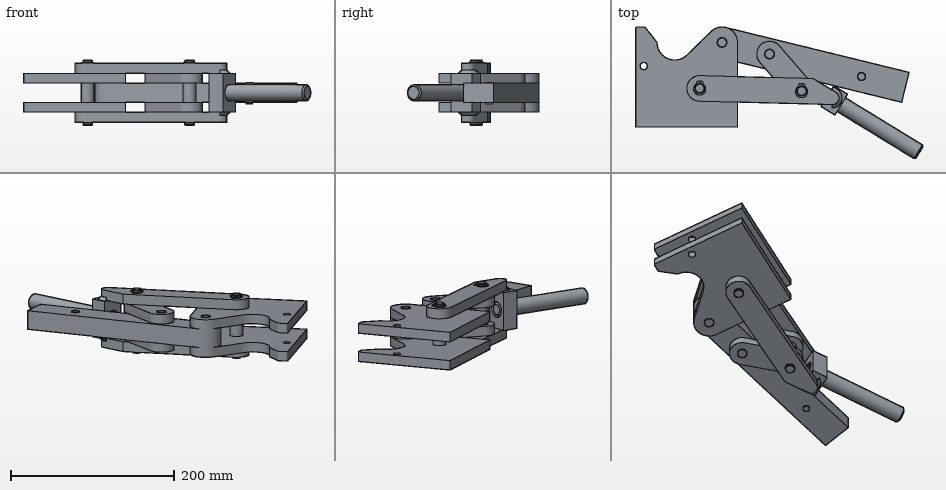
import cadquery as cq
import math


ARM_THICKNESS = 23.5
PLATE_THICKNESS = 12.0
LONG_LINK_THICKNESS = 12.5
ARM_TOP = ARM_THICKNESS / 2
PLATE_TOP = ARM_TOP + PLATE_THICKNESS
LONG_LINK_TOP = PLATE_TOP + LONG_LINK_THICKNESS
PIN_TOP = 40.0

PLATE_LENGTH = 125.0
PLATE_DEPTH = 123.0
PIVOT_RADIUS = 19.0
PIVOT = (PLATE_LENGTH - PIVOT_RADIUS, PLATE_DEPTH - PIVOT_RADIUS)
SEAT_RADIUS = 21.5
SEAT_CENTER = (48.0, PIVOT[1])
HORN_WIDTH = 11.5
HORN_CORNER_RADIUS = 2.0
PLATE_HOLE_CENTER = (10.0, 75.0)
PLATE_HOLE_DIAMETER = 8.5

ARM_LENGTH = 231.6
ARM_WIDTH = 2 * PIVOT_RADIUS
ARM_ANGLE = -13.76
ARM_LINK_DISTANCE = 60.0
ARM_TIP_PIN_DISTANCE = 176.0

LINK_RADIUS = 15.7
FIXED_PIN = (78.6, 47.6)
PIN_SPACING = 125.0
LONG_LINK_ANGLE = -1.47
LONG_LINK_SLANT_START = 139.0
LONG_LINK_SLANT_ANGLE = -30.0
LONG_LINK_TIP_RADIUS = 8.2

PIN_DIAMETER = 12.0
PIN_CHAMFER = 0.5
PIN_BEVEL_LENGTH = 1.0
PIN_BEVEL_DEPTH = 0.7
SPACER_DIAMETER = 16.0
TIP_PIN_HEAD_DIAMETER = 10.0
TIP_PIN_HEAD_HEIGHT = 1.0
TIP_PIN_DIAMETER = 8.0
TIP_PIN_PROTRUSION = 2.0

RING_THICKNESS = 1.0
RING_RADIUS = 7.4
RING_OFFSET = 0.8
RING_GROOVE_DEPTH = 0.5
RING_LUG_WIDTH = 8.0
RING_LUG_REACH = 9.0
RING_LUG_CHAMFER = 1.5
RING_GAP = 1.5

HANDLE_ANGLE = LONG_LINK_ANGLE + LONG_LINK_SLANT_ANGLE
BLOCK_LENGTH = 20.0
BLOCK_WIDTH = 30.0
BLOCK_HEIGHT = 2 * PLATE_TOP
BLOCK_FACE = (252.2, 27.7)
HANDLE_DIAMETER = 20.0
HANDLE_LENGTH = 112.5
HANDLE_CHAMFER = 2.0
GROOVE_OUTER_RADIUS = HANDLE_DIAMETER / 2
GROOVE_ROOT_RADIUS = 8.5
GROOVE_INNER_RADIUS = 6.5
GROOVE_DEPTH = 1.5
WELD_SIZE = 4.0
WELD_SLOPE_ANGLE = 45.0


def polar(origin, distance, angle):
    """Point at a distance and an angle in degrees from an origin."""
    turn = math.radians(angle)
    return (origin[0] + distance * math.cos(turn), origin[1] + distance * math.sin(turn))


def slab(bottom):
    """Workplane parallel to XY at the given height."""
    return cq.Workplane("XY").workplane(offset=bottom)


def placed(shape, origin, angle):
    """Turn a shape about Z and move its local origin to a point."""
    return shape.rotate((0, 0, 0), (0, 0, 1), angle).translate((origin[0], origin[1], 0))


def cylinder(center, diameter, bottom, top):
    return slab(bottom).center(*center).circle(diameter / 2).extrude(top - bottom)


def with_mirror(shape):
    """Add the copy of a shape on the other side of Z = 0."""
    return shape.union(shape.mirror("XY"))


FREE_PIN = polar(FIXED_PIN, PIN_SPACING, LONG_LINK_ANGLE)
SLANT = math.radians(-LONG_LINK_SLANT_ANGLE)
SHARP_TIP_X = LONG_LINK_SLANT_START + 2 * LINK_RADIUS / math.tan(SLANT)
LONG_LINK_TIP_CENTER = (
    SHARP_TIP_X - LONG_LINK_TIP_RADIUS / math.tan(SLANT / 2),
    LONG_LINK_TIP_RADIUS - LINK_RADIUS,
)
ARM_LINK_PIN = polar(PIVOT, ARM_LINK_DISTANCE, ARM_ANGLE)
ARM_TIP_PIN = polar(PIVOT, ARM_TIP_PIN_DISTANCE, ARM_ANGLE)


def flush_pin_chamfers(center, top):
    """Material missing around the chamfered ends of a pin that is level with the faces at +/- top."""
    radius = PIN_DIAMETER / 2
    end = (
        cq.Workplane("XZ")
        .moveTo(radius - PIN_CHAMFER, top)
        .lineTo(radius, top)
        .lineTo(radius, top - PIN_CHAMFER)
        .close()
        .revolve(360, (0, 0, 0), (0, 1, 0))
    )
    return with_mirror(placed(end, center, 0))


def base_plates():
    seat_to_pivot = PIVOT[0] - SEAT_CENTER[0]
    tangent_angle = math.degrees(math.acos((SEAT_RADIUS + PIVOT_RADIUS) / seat_to_pivot))
    plate = (
        slab(ARM_TOP)
        .moveTo(0, 0)
        .lineTo(PLATE_LENGTH, 0)
        .lineTo(PLATE_LENGTH, PIVOT[1])
        .threePointArc((PIVOT[0], PLATE_DEPTH), polar(PIVOT, PIVOT_RADIUS, 180 - tangent_angle))
        .lineTo(*polar(SEAT_CENTER, SEAT_RADIUS, -tangent_angle))
        .threePointArc(polar(SEAT_CENTER, SEAT_RADIUS, -135), polar(SEAT_CENTER, SEAT_RADIUS, 180))
        .lineTo(HORN_WIDTH, PLATE_DEPTH)
        .lineTo(0, PLATE_DEPTH)
        .close()
        .extrude(PLATE_THICKNESS)
    )
    for corner_x in (0, HORN_WIDTH):
        corner_point = (corner_x, PLATE_DEPTH, ARM_TOP + PLATE_THICKNESS / 2)
        corner = cq.selectors.NearestToPointSelector(corner_point)
        plate = plate.edges("|Z").edges(corner).fillet(HORN_CORNER_RADIUS)
    plate = plate.cut(cylinder(PLATE_HOLE_CENTER, PLATE_HOLE_DIAMETER, ARM_TOP, PLATE_TOP))
    return with_mirror(plate).cut(flush_pin_chamfers(PIVOT, PLATE_TOP))


def clamping_arm():
    bar = (
        slab(-ARM_TOP)
        .center(ARM_LENGTH / 2, 0)
        .rect(ARM_LENGTH, ARM_WIDTH)
        .extrude(ARM_THICKNESS)
        .union(cylinder((0, 0), ARM_WIDTH, -ARM_TOP, ARM_TOP))
    )
    return placed(bar, PIVOT, ARM_ANGLE)


def short_links():
    """Round-ended links from the clamping arm to the free pin."""
    run_x = ARM_LINK_PIN[0] - FREE_PIN[0]
    run_y = ARM_LINK_PIN[1] - FREE_PIN[1]
    length = math.hypot(run_x, run_y)
    link = (
        slab(ARM_TOP)
        .center(length / 2, 0)
        .slot2D(length + 2 * LINK_RADIUS, 2 * LINK_RADIUS)
        .extrude(PLATE_THICKNESS)
    )
    links = with_mirror(placed(link, FREE_PIN, math.degrees(math.atan2(run_y, run_x))))
    return links.cut(flush_pin_chamfers(ARM_LINK_PIN, PLATE_TOP))


def long_link_solid(bottom, height, margin=0.0, taper=0.0):
    """Link about the fixed pin: one round end and one slanted, rounded tip."""
    outline = (
        slab(bottom)
        .moveTo(0, -LINK_RADIUS)
        .lineTo(LONG_LINK_TIP_CENTER[0], -LINK_RADIUS)
        .threePointArc(
            polar(LONG_LINK_TIP_CENTER, LONG_LINK_TIP_RADIUS, 0),
            polar(LONG_LINK_TIP_CENTER, LONG_LINK_TIP_RADIUS, 90 + LONG_LINK_SLANT_ANGLE),
        )
        .lineTo(LONG_LINK_SLANT_START, LINK_RADIUS)
        .lineTo(0, LINK_RADIUS)
        .threePointArc((-LINK_RADIUS, 0), (0, -LINK_RADIUS))
        .close()
    )
    if margin:
        outline = outline.offset2D(margin)
    return outline.extrude(height, taper=taper)


def long_links():
    link = long_link_solid(PLATE_TOP, LONG_LINK_THICKNESS)
    return with_mirror(placed(link, FIXED_PIN, LONG_LINK_ANGLE))


def handle_block():
    """Block behind the handle; the local origin is the middle of the face the handle leaves."""
    block = cq.Workplane("XY").box(BLOCK_LENGTH, BLOCK_WIDTH, BLOCK_HEIGHT)
    block = block.translate((-BLOCK_LENGTH / 2, 0, 0))
    groove = (
        cq.Workplane("XY")
        .moveTo(-BLOCK_LENGTH, GROOVE_INNER_RADIUS)
        .lineTo(-BLOCK_LENGTH, GROOVE_OUTER_RADIUS)
        .lineTo(-BLOCK_LENGTH + GROOVE_DEPTH, GROOVE_ROOT_RADIUS)
        .close()
        .revolve(360, (0, 0, 0), (1, 0, 0))
    )
    return placed(block.cut(groove), BLOCK_FACE, HANDLE_ANGLE)


def handle():
    bar = cq.Workplane("YZ").circle(HANDLE_DIAMETER / 2).extrude(HANDLE_LENGTH)
    bar = bar.faces(">X").chamfer(HANDLE_CHAMFER)
    return placed(bar, BLOCK_FACE, HANDLE_ANGLE)


def tip_welds():
    """Sloping weld beads around the long-link tips, kept to the block's top and bottom."""
    bead = long_link_solid(PLATE_TOP, WELD_SIZE, WELD_SIZE, WELD_SLOPE_ANGLE)
    reach = BLOCK_LENGTH + BLOCK_WIDTH
    beyond_start = (
        slab(PLATE_TOP)
        .center(LONG_LINK_TIP_CENTER[0] + reach / 2, 0)
        .rect(reach, 2 * reach)
        .extrude(WELD_SIZE)
    )
    bead = placed(bead.intersect(beyond_start), FIXED_PIN, LONG_LINK_ANGLE)
    footprint = (
        slab(PLATE_TOP).center(-BLOCK_LENGTH / 2, 0).rect(BLOCK_LENGTH, BLOCK_WIDTH).extrude(WELD_SIZE)
    )
    return with_mirror(bead.intersect(placed(footprint, BLOCK_FACE, HANDLE_ANGLE)))


def link_pin(center):
    """Pin through both long links, wider between them, with a ring groove and a steep bevel at each end."""
    pin = cylinder(center, PIN_DIAMETER, -PIN_TOP, PIN_TOP)
    pin = pin.faces("<Z or >Z").chamfer(PIN_BEVEL_LENGTH, PIN_BEVEL_DEPTH)
    groove = cylinder(center, PIN_DIAMETER, LONG_LINK_TOP, LONG_LINK_TOP + RING_THICKNESS)
    groove = groove.cut(cylinder(center, PIN_DIAMETER - 2 * RING_GROOVE_DEPTH, LONG_LINK_TOP, PIN_TOP))
    pin = pin.cut(with_mirror(groove))
    return pin.union(cylinder(center, SPACER_DIAMETER, -PLATE_TOP, PLATE_TOP))


def retaining_ring(center):
    """Eccentric snap ring with two lugs, seated in the pin's groove on the upper long link."""
    ring = cylinder((0, -RING_OFFSET), 2 * RING_RADIUS, LONG_LINK_TOP, LONG_LINK_TOP + RING_THICKNESS)
    lugs = (
        slab(LONG_LINK_TOP)
        .center(0, RING_LUG_REACH / 2)
        .rect(RING_LUG_WIDTH, RING_LUG_REACH)
        .extrude(RING_THICKNESS)
        .edges("|Z and >Y")
        .chamfer(RING_LUG_CHAMFER)
    )
    gap = (
        slab(LONG_LINK_TOP)
        .center(0, RING_LUG_REACH / 2)
        .rect(RING_GAP, RING_LUG_REACH)
        .extrude(RING_THICKNESS)
    )
    return placed(ring.union(lugs).cut(gap), center, LONG_LINK_ANGLE)


def tip_pin():
    """Headed pin through the outer end of the clamping arm."""
    head = cylinder(ARM_TIP_PIN, TIP_PIN_HEAD_DIAMETER, ARM_TOP, ARM_TOP + TIP_PIN_HEAD_HEIGHT)
    head = head.faces(">Z").chamfer(PIN_CHAMFER)
    return head.union(cylinder(ARM_TIP_PIN, TIP_PIN_DIAMETER, -ARM_TOP - TIP_PIN_PROTRUSION, ARM_TOP))


result = base_plates()
for component in (
    clamping_arm(),
    short_links(),
    long_links(),
    handle_block(),
    handle(),
    tip_welds(),
    tip_pin(),
):
    result = result.union(component)
for pin_center in (FIXED_PIN, FREE_PIN):
    result = result.union(link_pin(pin_center)).union(retaining_ring(pin_center))